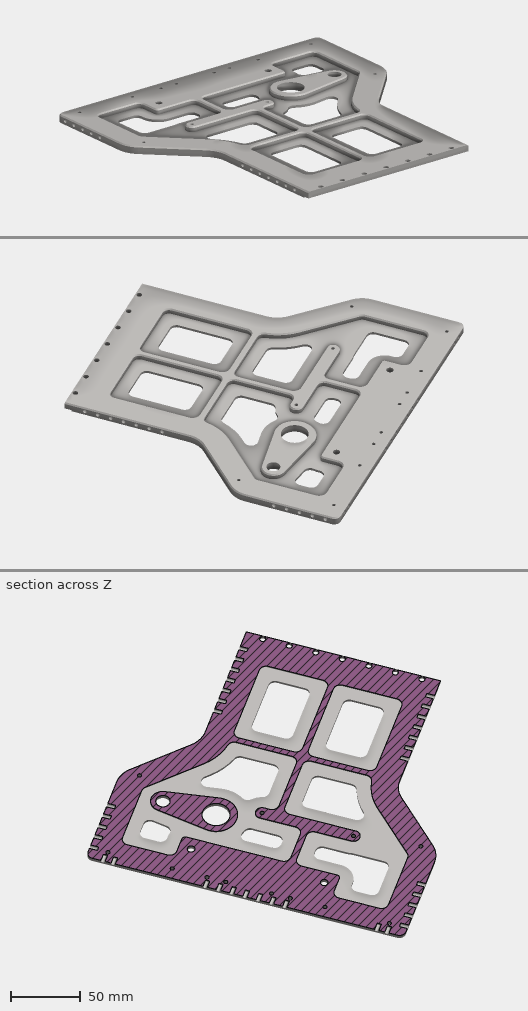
import cadquery as cq
import math

LENGTH = 231.5
WIDTH = 240.0
THICKNESS = 6.0
TAIL_HALF_WIDTH = 73.5
SHOULDER_X = 80.5
SHOULDER_RADIUS = 20.0
CORNER_RADIUS = 5.0
EDGE_CHAMFER = 1.0

RIM = SHOULDER_RADIUS
POCKET_DEPTH = 4.0
POCKET_RADIUS = 5.0
FLOOR_MARGIN = 10.0
BOSS_MARGIN = 9.0
RIB = 4.8
POCKET_END_X = 206.0
CROSS_RIB_X = 135.0
BLOCK_X = 39.5
BLOCK_HALF_WIDTH = 59.5
BLOCK_CORNER_RADIUS = 3.0
BLOCK_RIB_Y = -22.5
LOWER_WINDOW_END_X = 62.5

POST_X = 77.0
POST_TOP_Y = 11.8
POST_BOTTOM_Y = -57.0
POST_RADIUS = 5.0
POST_HOLE = 2.6

BOSS_X = 65.5
BOSS_LARGE_Y = 42.7
BOSS_LARGE_RADIUS = 15.5
BOSS_LARGE_HOLE = 20.0
BOSS_SMALL_Y = 82.8
BOSS_SMALL_RADIUS = 9.0
BOSS_SMALL_HOLE = 10.0

SCREW_HOLE = 2.6
SCREW_X = 9.0
SCREW_YS = (17.3, 31.5, 57.5, 106.0)
SHOULDER_SCREW = (82.8, 106.0)
DOWEL_HOLE = 5.3
DOWEL_X = 30.0
DOWEL_Y = 50.2
END_HOLE = 4.0
END_HOLE_X = 228.7
END_HOLE_PITCH = WIDTH / 12
END_HOLE_COUNT = 7
EDGE_HOLE = 3.0
EDGE_HOLE_DEPTH = 6.0
EDGE_PITCH = END_HOLE_PITCH / 2
EDGE_PAIR_YS = (99.4, 107.0)
WIDE_FIRST_X = 9.8
WIDE_COUNT = 5
TAIL_FIRST_X = 155.8
TAIL_COUNT = 7
LEFT_COUNT = 7
STEP_LENGTH = 5.3
STEP_HEIGHT = 1.0


def fillet_upright_edges(body, x, radius):
    """Round the vertical edges that stand at one X position."""
    near = 0.2
    slab = cq.selectors.BoxSelector((x - near, -WIDTH, -WIDTH), (x + near, WIDTH, WIDTH))
    return body.edges("|Z").edges(slab).fillet(radius)


def plate_profile(inset, shoulder_radius, neck_radius, height):
    """Plate outline moved inward by an inset, open at the tail; the slanted sides run at 45 degrees."""
    half = WIDTH / 2 - inset
    tail = TAIL_HALF_WIDTH - inset
    shoulder = SHOULDER_X - inset * math.tan(math.pi / 8)
    neck = shoulder + half - tail
    upper = [(LENGTH, tail), (neck, tail), (shoulder, half), (inset, half)]
    lower = [(x, -y) for x, y in reversed(upper)]
    body = cq.Workplane().polyline(upper + lower).close().extrude(height)
    body = fillet_upright_edges(body, neck, neck_radius)
    if shoulder_radius > 0:
        body = fillet_upright_edges(body, shoulder, shoulder_radius)
    return body


def box(x0, x1, y0, y1, height):
    """Block standing on the underside plane between two X and two Y positions."""
    return cq.Workplane().box(x1 - x0, y1 - y0, height, centered=False).translate((x0, y0, 0))


def teardrop(grow, height):
    """Two circles joined by their common tangents, grown outward by an offset."""
    large = BOSS_LARGE_RADIUS + grow
    small = BOSS_SMALL_RADIUS + grow
    tilt = math.asin((large - small) / (BOSS_SMALL_Y - BOSS_LARGE_Y))
    dx, dy = math.cos(tilt), math.sin(tilt)
    return (
        cq.Workplane()
        .moveTo(BOSS_X + large * dx, BOSS_LARGE_Y + large * dy)
        .lineTo(BOSS_X + small * dx, BOSS_SMALL_Y + small * dy)
        .threePointArc((BOSS_X, BOSS_SMALL_Y + small), (BOSS_X - small * dx, BOSS_SMALL_Y + small * dy))
        .lineTo(BOSS_X - large * dx, BOSS_LARGE_Y + large * dy)
        .threePointArc((BOSS_X, BOSS_LARGE_Y - large), (BOSS_X + large * dx, BOSS_LARGE_Y + large * dy))
        .close()
        .extrude(height)
    )


def offset_prisms(prisms, distance, height):
    """Offset the outline of each prism and extrude it again."""
    shapes = []
    for solid in prisms.solids().vals():
        outline = cq.Workplane(solid).faces("<Z").wires().toPending()
        shapes += cq.Workplane().add(outline.vals()).toPending().offset2D(distance).extrude(height).vals()
    return cq.Workplane().newObject(shapes)


def pocket_blanks(height):
    """Region inside the rim, divided by the block, the post and the ribs, with sharp corners."""
    blank = plate_profile(RIM, 0, SHOULDER_RADIUS + RIM, height)
    blank = blank.cut(box(POCKET_END_X, LENGTH, -WIDTH, WIDTH, height))
    block = box(0, BLOCK_X, -BLOCK_HALF_WIDTH, BLOCK_HALF_WIDTH, height)
    block = block.edges("|Z and >X").fillet(BLOCK_CORNER_RADIUS)
    post_length = POST_TOP_Y - POST_BOTTOM_Y + 2 * POST_RADIUS
    post = (
        cq.Workplane()
        .center(POST_X, (POST_TOP_Y + POST_BOTTOM_Y) / 2)
        .slot2D(post_length, 2 * POST_RADIUS, 90)
        .extrude(height)
    )
    half = RIB / 2
    cross_rib = box(CROSS_RIB_X - half, CROSS_RIB_X + half, -WIDTH, WIDTH, height)
    long_rib = box(POST_X, LENGTH, -half, half, height)
    block_rib = box(0, POST_X, BLOCK_RIB_Y - half, BLOCK_RIB_Y + half, height)
    for divider in (block, post, cross_rib, long_rib, block_rib):
        blank = blank.cut(divider)
    return blank


def drill(body, points, diameter):
    """Vertical holes right through the plate."""
    return body.cut(cq.Workplane().pushPoints(points).circle(diameter / 2).extrude(THICKNESS))


def edge_drill(body, points, direction):
    """Blind holes at mid thickness, drilled into the plate from points on its side."""
    for x, y in points:
        start = cq.Vector(x, y, THICKNESS / 2)
        hole = cq.Solid.makeCylinder(EDGE_HOLE / 2, EDGE_HOLE_DEPTH, start, direction)
        body = body.cut(cq.Workplane(hole))
    return body


blanks = pocket_blanks(THICKNESS)

pockets = offset_prisms(offset_prisms(blanks, -POCKET_RADIUS, THICKNESS), POCKET_RADIUS, THICKNESS)

plate = plate_profile(0, SHOULDER_RADIUS, SHOULDER_RADIUS, THICKNESS)
plate = plate.edges("|Z and <X").fillet(CORNER_RADIUS)
for pocket in pockets.vals():
    cutter = cq.Workplane(pocket).cut(teardrop(0, THICKNESS))
    plate = plate.cut(cutter.translate((0, 0, THICKNESS - POCKET_DEPTH)))
plate = plate.faces(">Z").edges("not(>X)").chamfer(EDGE_CHAMFER)

cores = offset_prisms(blanks, -(FLOOR_MARGIN + POCKET_RADIUS), THICKNESS)
skipped_floor = box(LOWER_WINDOW_END_X - POCKET_RADIUS, POST_X, -WIDTH, BLOCK_RIB_Y, THICKNESS)
for core in cores.vals():
    trimmed = cq.Workplane(core).cut(teardrop(BOSS_MARGIN + POCKET_RADIUS, THICKNESS)).cut(skipped_floor)
    for window in offset_prisms(trimmed, POCKET_RADIUS, THICKNESS).vals():
        plate = plate.cut(cq.Workplane(window))

plate = plate.cut(box(LENGTH - STEP_LENGTH, LENGTH, -WIDTH, WIDTH, STEP_HEIGHT))

screws = [(SCREW_X, side * y) for y in SCREW_YS for side in (-1, 1)]
screws += [(SHOULDER_SCREW[0], side * SHOULDER_SCREW[1]) for side in (-1, 1)]
end_middle = (END_HOLE_COUNT - 1) / 2
end_holes = [(END_HOLE_X, (i - end_middle) * END_HOLE_PITCH) for i in range(END_HOLE_COUNT)]
plate = drill(plate, screws, SCREW_HOLE)
plate = drill(plate, [(DOWEL_X, -DOWEL_Y), (DOWEL_X, DOWEL_Y)], DOWEL_HOLE)
plate = drill(plate, end_holes, END_HOLE)
plate = drill(plate, [(POST_X, POST_TOP_Y), (POST_X, POST_BOTTOM_Y)], POST_HOLE)
plate = drill(plate, [(BOSS_X, BOSS_LARGE_Y)], BOSS_LARGE_HOLE)
plate = drill(plate, [(BOSS_X, BOSS_SMALL_Y)], BOSS_SMALL_HOLE)

left_middle = (LEFT_COUNT - 1) / 2
left_ys = [(i - left_middle) * EDGE_PITCH for i in range(LEFT_COUNT)]
left_ys += [side * y for y in EDGE_PAIR_YS for side in (-1, 1)]
plate = edge_drill(plate, [(0, y) for y in left_ys], cq.Vector(1, 0, 0))
for side in (-1, 1):
    inward = cq.Vector(0, -side, 0)
    wide = [(WIDE_FIRST_X + i * EDGE_PITCH, side * WIDTH / 2) for i in range(WIDE_COUNT)]
    tail = [(TAIL_FIRST_X + i * EDGE_PITCH, side * TAIL_HALF_WIDTH) for i in range(TAIL_COUNT)]
    plate = edge_drill(plate, wide + tail, inward)

result = plate